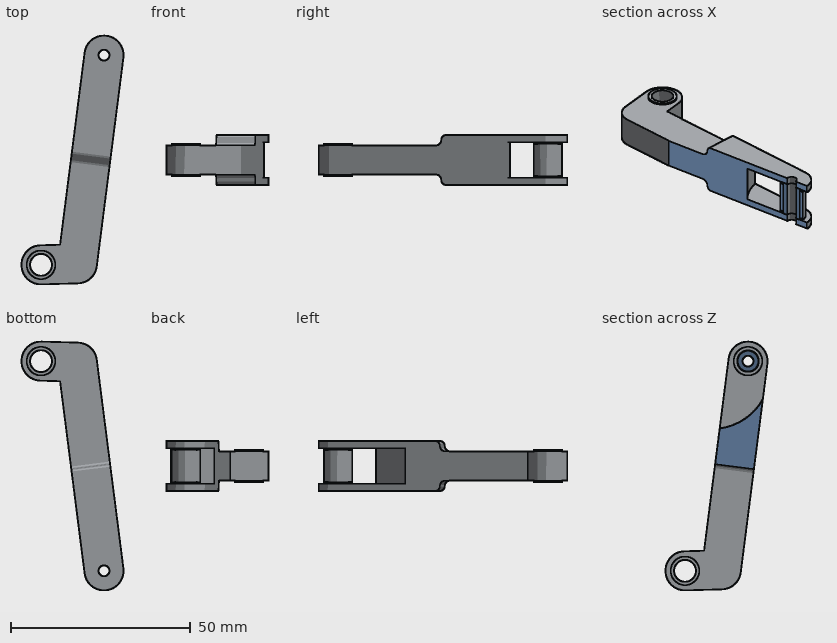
import cadquery as cq
import math

end_radius = 5.5
bush_centre = (0.0, 0.0)
elbow_centre = (10.1, 0.3)
fork_centre = (17.5, 58.35)

fork_height = 14.0
arm_height = 8.2
fork_gap = 9.8

step_distance = 27.8
step_radius = (fork_height - arm_height) / 4

pocket_centre = (7.5, 55.8)
pocket_radius = 16.3

bush_diameter = 8.0
bush_bore = 6.0
bush_length = 9.0
sleeve_diameter = 5.9
sleeve_bore = 3.0

arm_run_x = elbow_centre[0] - fork_centre[0]
arm_run_y = elbow_centre[1] - fork_centre[1]
long_arm_length = math.hypot(arm_run_x, arm_run_y)


def cylinder(centre, diameter, height):
    """Upright cylinder centred on Z = 0."""
    return cq.Workplane("XY", origin=(*centre, -height / 2)).circle(diameter / 2).extrude(height)


def round_ended_bar(start, end, height):
    """Straight bar with a full round at each end, centred on Z = 0."""
    run_x = end[0] - start[0]
    run_y = end[1] - start[1]
    overall_length = math.hypot(run_x, run_y) + 2 * end_radius
    direction = math.degrees(math.atan2(run_y, run_x))
    middle = (start[0] + run_x / 2, start[1] + run_y / 2, -height / 2)
    return (
        cq.Workplane("XY", origin=middle)
        .slot2D(overall_length, 2 * end_radius, direction)
        .extrude(height)
    )


def arm_side_profile():
    """Side envelope of the long arm, deep at the fork and stepped down by S-curves towards the elbow."""
    profile_plane = cq.Plane(
        origin=(fork_centre[0], fork_centre[1], 0),
        xDir=(arm_run_x, arm_run_y, 0),
        normal=(arm_run_y, -arm_run_x, 0),
    )
    fork_top = fork_height / 2
    arm_top = arm_height / 2
    step_middle_x = step_distance + step_radius
    step_middle_y = fork_top - step_radius
    step_end = step_distance + 2 * step_radius
    elbow_end = long_arm_length + end_radius
    arc_offset = step_radius * math.sin(math.radians(45))

    convex_mid = (step_distance + arc_offset, step_middle_y + arc_offset)
    concave_mid = (step_end - arc_offset, step_middle_y - arc_offset)
    return (
        cq.Workplane(profile_plane)
        .moveTo(-end_radius, fork_top)
        .lineTo(step_distance, fork_top)
        .threePointArc(convex_mid, (step_middle_x, step_middle_y))
        .threePointArc(concave_mid, (step_end, arm_top))
        .lineTo(elbow_end, arm_top)
        .lineTo(elbow_end, -arm_top)
        .lineTo(step_end, -arm_top)
        .threePointArc((concave_mid[0], -concave_mid[1]), (step_middle_x, -step_middle_y))
        .threePointArc((convex_mid[0], -convex_mid[1]), (step_distance, -fork_top))
        .lineTo(-end_radius, -fork_top)
        .close()
        .extrude(end_radius, both=True)
    )


def make_lever():
    """Bent lever with a fork at the far end and a bushing bore at the near end."""
    long_arm = round_ended_bar(fork_centre, elbow_centre, fork_height).intersect(arm_side_profile())
    short_arm = round_ended_bar(elbow_centre, bush_centre, arm_height)
    pocket = cylinder(pocket_centre, 2 * pocket_radius, fork_gap)
    pin_hole = cylinder(fork_centre, sleeve_bore, fork_height)
    bush_hole = cylinder(bush_centre, bush_diameter, arm_height)
    return long_arm.union(short_arm).cut(pocket).cut(pin_hole).cut(bush_hole)


def make_bushing(centre):
    """Plain bushing, standing slightly proud of the arm it fits or free on the sleeve."""
    return cylinder(centre, bush_diameter, bush_length).cut(cylinder(centre, bush_bore, bush_length))


def make_sleeve():
    """Spacer sleeve that fills the fork gap and carries the outer bushing."""
    return cylinder(fork_centre, sleeve_diameter, fork_gap).cut(cylinder(fork_centre, sleeve_bore, fork_gap))


lever = make_lever()
sleeve = make_sleeve()
bushings = [make_bushing(centre).val() for centre in (bush_centre, fork_centre)]

result = cq.Compound.makeCompound([lever.solids().val(), sleeve.val(), *bushings])